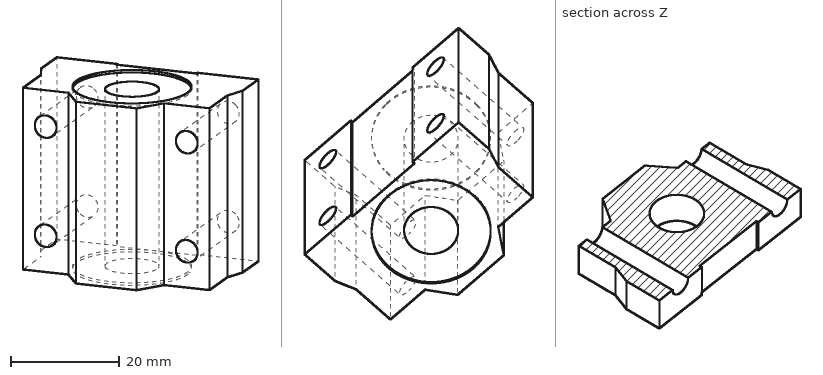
import cadquery as cq

width = 40.0
depth = 26.0
height = 35.0
back_y = depth / 2
front_y = -depth / 2

waist_width = 37.0
straight_length = 8.0
taper_length = 4.0
taper_start_y = back_y - straight_length
taper_end_y = taper_start_y - taper_length

nose_height = 5.0
nose_base_width = 19.0
nose_tip_width = 12.0
mount_face_y = front_y + nose_height

relief_width = 16.0
relief_depth = 0.5

bore_diameter = 10.0
recess_diameter = 22.0
recess_depth = 0.5

mount_hole_diameter = 4.3
mount_pitch_x = 28.0
mount_pitch_z = 21.0


def make_body():
    """Extrude the profile, drawn as its right half and mirrored to the left."""
    right_half = [
        (nose_tip_width / 2, front_y),
        (nose_base_width / 2, mount_face_y),
        (waist_width / 2, mount_face_y),
        (waist_width / 2, taper_end_y),
        (width / 2, taper_start_y),
        (width / 2, back_y),
        (relief_width / 2, back_y),
        (relief_width / 2, back_y - relief_depth),
    ]
    left_half = [(-x, y) for x, y in reversed(right_half)]
    profile = cq.Workplane("XY").polyline(right_half + left_half).close()
    return profile.extrude(height / 2, both=True)


def make_bearing_cut():
    """Through bore joined with a wide shallow recess in the top and bottom faces."""
    cut = cq.Workplane("XY").circle(bore_diameter / 2).extrude(height / 2, both=True)
    for recess_bottom_z in (height / 2 - recess_depth, -height / 2):
        recess = (
            cq.Workplane("XY")
            .workplane(offset=recess_bottom_z)
            .circle(recess_diameter / 2)
            .extrude(recess_depth)
        )
        cut = cut.union(recess)
    return cut


def make_mount_holes():
    """Four through holes on a rectangular pattern."""
    return (
        cq.Workplane("XZ")
        .rarray(mount_pitch_x, mount_pitch_z, 2, 2)
        .circle(mount_hole_diameter / 2)
        .extrude(depth / 2, both=True)
    )


result = make_body().cut(make_bearing_cut()).cut(make_mount_holes())